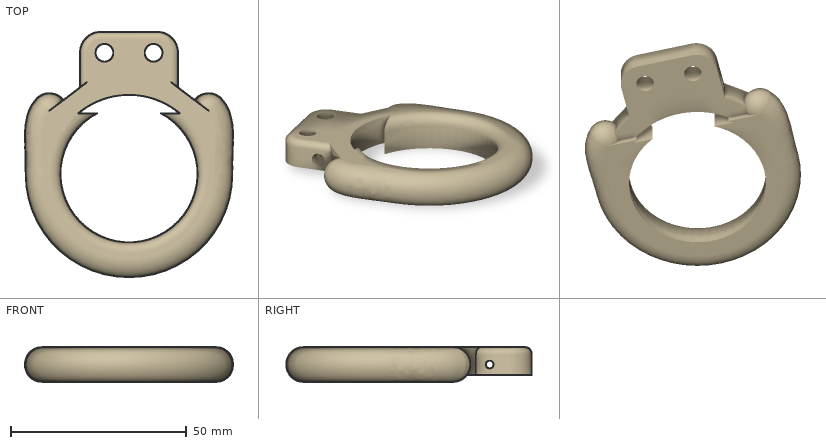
import cadquery as cq
import math

RING_HEIGHT = 10.0
BORE_DIAMETER = 39.0
BORE_RADIUS = BORE_DIAMETER / 2
WALL_THICKNESS = 10.0
RING_RADIUS = BORE_RADIUS + WALL_THICKNESS
ROUND_RADIUS = RING_HEIGHT / 2
BORE_FILLET = 3.0
RELIEF_RADIUS = BORE_RADIUS + BORE_FILLET
RELIEF_START_Y = 17.25

SPINE_RADIUS = RING_RADIUS - ROUND_RADIUS
BULGE_WIDTH = 0.17
ARM_BULGE = (SPINE_RADIUS + BULGE_WIDTH, 8.0)
ARM_END = (22.7, 18.0)
ARM_END_ANGLE = math.radians(135)

TAB_BOTTOM = 2.0
TAB_HALF_WIDTH = 14.0
TAB_END_Y = 40.5
TAB_CORNER_RADIUS = 6.0
TAB_FILLET = 2.0
WEB_TOP_Y = 24.6

MOUNT_HOLE_DIAMETER = 5.0
MOUNT_HOLE_X = 7.0
MOUNT_HOLE_Y = TAB_END_Y - TAB_CORNER_RADIUS
CROSS_HOLE_DIAMETER = 2.15
CROSS_HOLE_Y = 28.5
CROSS_HOLE_Z = RING_HEIGHT / 2
COUNTERBORE_DIAMETER = 4.0
COUNTERBORE_DEPTH = 4.0


def mirrored(point):
    """Reflect an XY point across the YZ plane."""
    return (-point[0], point[1])


def spine(plane_z):
    """Open centre line of the outer round, from the right arm end to the left one."""
    upward = (0, 1)
    downward = (0, -1)
    right_end_tangent = (-math.cos(ARM_END_ANGLE), -math.sin(ARM_END_ANGLE))
    left_end_tangent = (-math.cos(ARM_END_ANGLE), math.sin(ARM_END_ANGLE))
    arm = [ARM_END, ARM_BULGE, (SPINE_RADIUS, 0)]
    return (
        cq.Workplane("XY", origin=(0, 0, plane_z))
        .moveTo(*ARM_END)
        .spline(arm[1:], tangents=[right_end_tangent, downward], includeCurrent=True)
        .threePointArc((0, -SPINE_RADIUS), (-SPINE_RADIUS, 0))
        .spline(
            [mirrored(p) for p in reversed(arm[:-1])],
            tangents=[upward, left_end_tangent],
            includeCurrent=True,
        )
    )


def outer_round():
    """Round bar along the spine, closed by a ball at each arm end."""
    end_plane = cq.Plane(
        origin=(*ARM_END, RING_HEIGHT / 2),
        xDir=(0, 0, 1),
        normal=(math.cos(ARM_END_ANGLE), math.sin(ARM_END_ANGLE), 0),
    )
    bar = cq.Workplane(end_plane).circle(ROUND_RADIUS).sweep(spine(RING_HEIGHT / 2))
    ball = cq.Workplane("XY").sphere(ROUND_RADIUS).rotate((0, 0, 0), (0, 0, 1), -90)
    for x, y in (ARM_END, mirrored(ARM_END)):
        bar = bar.union(ball.translate((x, y, RING_HEIGHT / 2)))
    return bar


def tab():
    """Filleted tab that reaches back over the ring, with its corners rounded."""
    height = RING_HEIGHT - TAB_BOTTOM
    return (
        cq.Workplane("XY", origin=(0, 0, TAB_BOTTOM))
        .rect(2 * TAB_HALF_WIDTH, 2 * TAB_END_Y)
        .extrude(height)
        .edges("|Z and >Y")
        .fillet(TAB_CORNER_RADIUS)
        .faces(">Z")
        .edges("not <Y")
        .fillet(TAB_FILLET)
        .intersect(
            cq.Workplane("XY", origin=(0, 0, TAB_BOTTOM))
            .rect(2 * TAB_HALF_WIDTH, TAB_END_Y, centered=(True, False))
            .extrude(height)
        )
    )


def web():
    """Plate between the arm ends that tapers towards the tab."""
    slope = (ARM_END[1] - WEB_TOP_Y) / (ARM_END[0] - TAB_HALF_WIDTH)
    inner_x = TAB_HALF_WIDTH - TAB_FILLET
    inner_corner = (inner_x, WEB_TOP_Y - slope * TAB_FILLET)
    return (
        cq.Workplane("XY", origin=(0, 0, TAB_BOTTOM))
        .polyline([ARM_END, inner_corner, mirrored(inner_corner), mirrored(ARM_END)])
        .close()
        .extrude(RING_HEIGHT - TAB_BOTTOM)
    )


def bore():
    """Round bore with a rounded top edge."""
    profile = (
        cq.Workplane("XZ")
        .lineTo(BORE_RADIUS, 0)
        .lineTo(BORE_RADIUS, RING_HEIGHT - BORE_FILLET)
        .radiusArc((RELIEF_RADIUS, RING_HEIGHT), BORE_FILLET)
        .lineTo(0, RING_HEIGHT)
        .close()
    )
    return profile.revolve(360, (0, 0, 0), (0, 1, 0))


def relief():
    """Wider part of the bore, beyond the start plane."""
    beyond = (
        cq.Workplane("XY", origin=(0, RELIEF_START_Y, 0))
        .rect(2 * RELIEF_RADIUS, RELIEF_RADIUS, centered=(True, False))
        .extrude(RING_HEIGHT)
    )
    return cq.Workplane("XY").circle(RELIEF_RADIUS).extrude(RING_HEIGHT).intersect(beyond)


def mount_holes():
    """Pair of holes through the tab along Z."""
    return (
        cq.Workplane("XY")
        .pushPoints([(-MOUNT_HOLE_X, MOUNT_HOLE_Y), (MOUNT_HOLE_X, MOUNT_HOLE_Y)])
        .circle(MOUNT_HOLE_DIAMETER / 2)
        .extrude(RING_HEIGHT)
    )


def cross_hole():
    """Hole along X through the tab, counterbored from the -X side."""
    start = cq.Workplane("YZ", origin=(-TAB_HALF_WIDTH, CROSS_HOLE_Y, CROSS_HOLE_Z))
    through = start.circle(CROSS_HOLE_DIAMETER / 2).extrude(2 * TAB_HALF_WIDTH)
    return through.union(start.circle(COUNTERBORE_DIAMETER / 2).extrude(COUNTERBORE_DEPTH))


core = spine(0).close().extrude(RING_HEIGHT)
body = core.union(outer_round()).union(web()).union(tab())
result = body.cut(bore()).cut(relief()).cut(mount_holes()).cut(cross_hole())